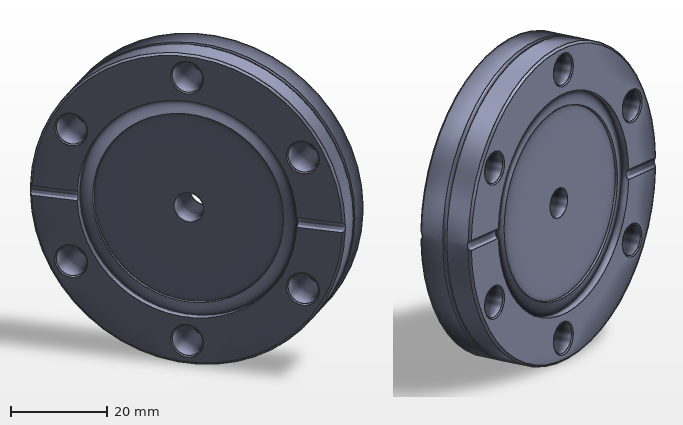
import cadquery as cq
import math

outer_diameter = 69.1
thickness = 12.7
edge_chamfer = 0.5

recess_diameter = 48.2
knife_diameter = 41.9
floor_diameter = 41.6
knife_depth = 0.7
floor_depth = 1.2
cone_angle = 20.0

center_hole_diameter = 6.5
bolt_hole_diameter = 6.7
bolt_hole_chamfer = 0.3
bolt_circle_diameter = 58.75
bolt_count = 6

leak_groove_width = 2.15
leak_groove_depth = 0.7
rim_groove_width = 1.05
rim_groove_depth = 0.35

outer_radius = outer_diameter / 2
recess_radius = recess_diameter / 2
knife_radius = knife_diameter / 2
floor_radius = floor_diameter / 2
half_thickness = thickness / 2


def groove_radius(width, depth):
    """Radius of the arc with the given chord width and depth."""
    return (width**2 / 4 + depth**2) / (2 * depth)


def revolve_about_y(profile):
    """Revolve a closed profile drawn in X (radius) and Y once around the Y axis."""
    return profile.close().revolve(360, (0, 0, 0), (0, 1, 0))


def both_faces(cutter):
    """Join a cutter for the -Y face with its mirror image for the +Y face."""
    return cutter.union(cutter.mirror("XZ"))


def make_disc():
    disc = cq.Workplane("XZ").circle(outer_radius).extrude(half_thickness, both=True)
    return disc.faces("<Y or >Y").edges().chamfer(edge_chamfer)


def make_recess():
    cone_drop = (recess_radius - knife_radius) * math.tan(math.radians(cone_angle))
    face_y = -half_thickness
    profile = (
        cq.Workplane("XY")
        .moveTo(0, face_y)
        .lineTo(recess_radius, face_y)
        .lineTo(recess_radius, face_y + knife_depth + cone_drop)
        .lineTo(knife_radius, face_y + knife_depth)
        .lineTo(floor_radius, face_y + floor_depth)
        .lineTo(0, face_y + floor_depth)
    )
    return revolve_about_y(profile)


def make_leak_grooves():
    """Radial grooves along X, from the rim into the recess on either side."""
    radius = groove_radius(leak_groove_width, leak_groove_depth)
    axis_y = -half_thickness + leak_groove_depth - radius
    rod = cq.Workplane("YZ").center(axis_y, 0).circle(radius).extrude(outer_radius, both=True)
    inside_recess = cq.Workplane("XZ").circle(recess_radius).extrude(thickness, both=True)
    return rod.cut(inside_recess)


def make_rim_groove():
    half_width = rim_groove_width / 2
    profile = (
        cq.Workplane("XY")
        .moveTo(outer_radius, -half_width)
        .threePointArc((outer_radius - rim_groove_depth, 0), (outer_radius, half_width))
        .lineTo(outer_radius + rim_groove_depth, half_width)
        .lineTo(outer_radius + rim_groove_depth, -half_width)
    )
    return revolve_about_y(profile)


def make_bolt_holes():
    """Through holes, the first one straight up on Z, chamfered at both faces."""
    hole_radius = bolt_hole_diameter / 2
    mouth_radius = hole_radius + bolt_hole_chamfer
    chamfer_y = half_thickness - bolt_hole_chamfer
    profile = (
        cq.Workplane("XY")
        .moveTo(0, -half_thickness)
        .lineTo(mouth_radius, -half_thickness)
        .lineTo(hole_radius, -chamfer_y)
        .lineTo(hole_radius, chamfer_y)
        .lineTo(mouth_radius, half_thickness)
        .lineTo(0, half_thickness)
    )
    first_hole = revolve_about_y(profile).translate((0, 0, bolt_circle_diameter / 2))
    holes = first_hole
    for index in range(1, bolt_count):
        holes = holes.union(first_hole.rotate((0, 0, 0), (0, 1, 0), index * 360 / bolt_count))
    return holes


center_hole = cq.Workplane("XZ").circle(center_hole_diameter / 2).extrude(thickness, both=True)

result = (
    make_disc()
    .cut(both_faces(make_recess()))
    .cut(both_faces(make_leak_grooves()))
    .cut(make_rim_groove())
    .cut(make_bolt_holes())
    .cut(center_hole)
)